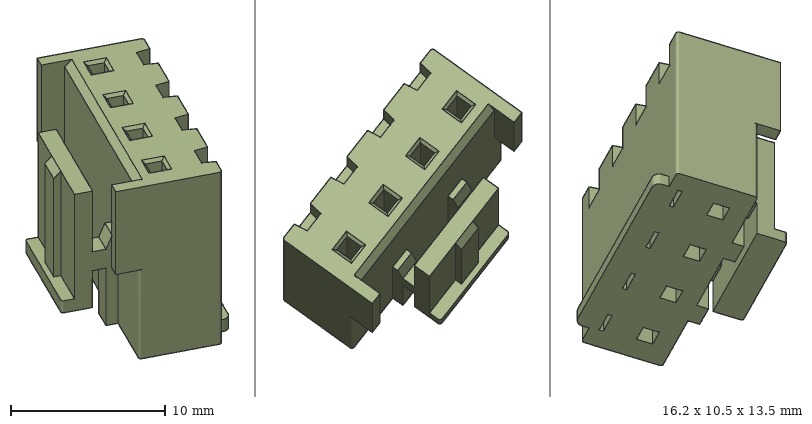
import cadquery as cq


width = 16.17
height = 13.5
body_depth = 5.68
corner_radius = 0.2
top_chamfer = 0.49

wing_thickness = 0.84
wing_depth = 7.28
wing_bottom = 7.0

flange_width = 13.55
flange_reach = 1.0
flange_height = 0.95
flange_radius = 0.5

contact_count = 4
contact_pitch = 3.96
hole_size = 1.13
hole_lead_in = 0.21
hole_depth = 3.78

notch_back_width = 1.73
notch_front_width = 1.47
notch_depth = 0.95
notch_height = 2.0
ledge_depth = 0.66

latch_width = 7.47
leg_width = 1.49
leg_depth = 6.5
leg_top_depth = 6.08
bridge_bottom = 4.51
bridge_top = 6.0
plate_back = 7.42
plate_front = 8.65
plate_bottom = 1.62
plate_top = 10.77
rib_width = 1.85
rib_front = 9.14
lip_front = 9.54
lip_top = 2.57
lip_radius = 0.2


def block(block_width, back, front, bottom, top, x_center=0.0):
    """Box between two depths and two heights, centred on x_center."""
    return (
        cq.Workplane("XY")
        .box(block_width, front - back, top - bottom, centered=(True, False, False))
        .translate((x_center, -front, bottom))
    )


def side_profile(points, profile_width, x_center=0.0):
    """Extrude a (depth, height) outline along X, centred on x_center."""
    outline = [(-depth, z) for depth, z in points]
    return (
        cq.Workplane("YZ")
        .polyline(outline)
        .close()
        .extrude(profile_width / 2, both=True)
        .translate((x_center, 0, 0))
    )


def make_body():
    return block(width, 0, body_depth, 0, height).edges("|Z").fillet(corner_radius)


def make_top_chamfer():
    """Wedge removed from the body's upper front edge, between the wings."""
    outline = [
        (body_depth - top_chamfer, height),
        (body_depth, height - top_chamfer),
        (body_depth, height),
    ]
    return side_profile(outline, width - 2 * wing_thickness)


def make_wing(side):
    wing_back = body_depth - corner_radius
    x_center = side * (width - wing_thickness) / 2
    return block(wing_thickness, wing_back, wing_depth, wing_bottom, height, x_center)


def make_flange():
    flange = block(flange_width, -flange_reach, 0, 0, flange_height)
    return flange.edges("|Z and >Y").fillet(flange_radius)


def make_leg(side):
    outline = [
        (body_depth, 0),
        (leg_depth, 0),
        (leg_depth, bridge_bottom),
        (plate_back, bridge_bottom),
        (plate_back, bridge_top),
        (leg_depth, bridge_top),
        (leg_top_depth, wing_bottom),
        (body_depth, wing_bottom),
    ]
    return side_profile(outline, leg_width, side * (latch_width - leg_width) / 2)


def make_lever():
    plate = block(latch_width, plate_back, plate_front, plate_bottom, plate_top)
    lip = block(latch_width, plate_back, lip_front, plate_bottom, lip_top)
    lip = lip.edges("|Z and <Y").fillet(lip_radius)
    rib_outline = [
        (plate_front, plate_bottom),
        (rib_front, plate_bottom),
        (rib_front, plate_top - (rib_front - plate_front)),
        (plate_front, plate_top),
    ]
    return plate.union(lip).union(side_profile(rib_outline, rib_width))


def make_contact_hole(x_center):
    """Square through hole with a 45 degree lead-in at the top."""
    half_hole = hole_size / 2
    hole = block(hole_size, hole_depth - half_hole, hole_depth + half_hole, 0, height, x_center)
    mouth_size = hole_size + 2 * hole_lead_in
    lead_in = (
        cq.Workplane("XY", origin=(x_center, -hole_depth, height - hole_lead_in))
        .rect(hole_size, hole_size)
        .workplane(offset=hole_lead_in)
        .rect(mouth_size, mouth_size)
        .loft(ruled=True)
    )
    return hole.union(lead_in)


def make_notch(x_center):
    notch = (
        cq.Workplane("XY", origin=(x_center, 0, height - notch_height))
        .moveTo(-notch_back_width / 2, 0)
        .lineTo(-notch_front_width / 2, -notch_depth)
        .lineTo(notch_front_width / 2, -notch_depth)
        .lineTo(notch_back_width / 2, 0)
        .close()
        .extrude(notch_height)
    )
    slot = block(notch_front_width, ledge_depth, notch_depth, 0, height, x_center)
    return notch.union(slot)


result = make_body().cut(make_top_chamfer()).union(make_flange()).union(make_lever())
for side in (-1, 1):
    result = result.union(make_wing(side)).union(make_leg(side))

for index in range(contact_count):
    contact_x = (index - (contact_count - 1) / 2) * contact_pitch
    result = result.cut(make_contact_hole(contact_x)).cut(make_notch(contact_x))